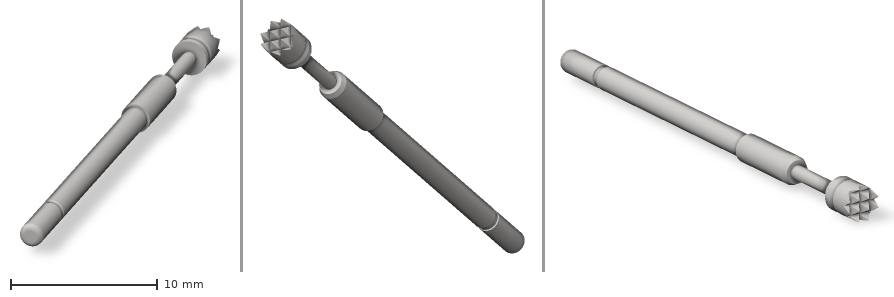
import cadquery as cq

LENGTH = 36.3

HEAD_DIA = 2.5
HEAD_LENGTH = 2.98
TOOTH_PITCH = 0.8
GROOVES_PER_SET = 5
TOOTH_DEPTH = 0.7
NECK_DIA = 2.32
NECK_FRONT = 2.0
NECK_REAR = 2.32
NECK_TAPER_END = 2.58

PLUNGER_DIA = 1.0

COLLAR_DIA = 2.07
COLLAR_FRONT = 8.25
COLLAR_REAR = 14.23
COLLAR_BEVEL_LENGTH = 0.4
COLLAR_BEVEL_DEPTH = 0.18

BARREL_DIA = 1.67
GROOVE_DIA = 1.45
GROOVE_FRONT = 31.58
GROOVE_TAPER_END = 31.73
GROOVE_REAR = 32.1
END_FILLET = 0.4


def turned(sections):
    """Revolve (distance behind the tips, diameter) stations about the Y axis."""
    profile = [(diameter / 2, LENGTH - distance) for distance, diameter in sections]
    outline = [(0, profile[0][1])] + profile + [(0, profile[-1][1])]
    return cq.Workplane("XY").polyline(outline).close().revolve(360, (0, 0), (0, 1))


def make_head():
    """Cylinder with a turned groove: a cone from the rear that runs into a hollow arc."""
    radius = HEAD_DIA / 2
    rear = LENGTH - HEAD_LENGTH
    return (
        cq.Workplane("XY")
        .moveTo(0, rear)
        .lineTo(radius, rear)
        .lineTo(radius, LENGTH - NECK_TAPER_END)
        .lineTo(NECK_DIA / 2, LENGTH - NECK_REAR)
        .tangentArcPoint((radius, LENGTH - NECK_FRONT), relative=False)
        .lineTo(radius, LENGTH)
        .lineTo(0, LENGTH)
        .close()
        .revolve(360, (0, 0), (0, 1))
    )


def make_plunger():
    return turned([(HEAD_LENGTH, PLUNGER_DIA), (COLLAR_FRONT, PLUNGER_DIA)])


def make_collar():
    return turned([
        (COLLAR_FRONT, COLLAR_DIA - 2 * COLLAR_BEVEL_DEPTH),
        (COLLAR_FRONT + COLLAR_BEVEL_LENGTH, COLLAR_DIA),
        (COLLAR_REAR, COLLAR_DIA),
    ])


def make_barrel():
    barrel = turned([
        (COLLAR_REAR, BARREL_DIA),
        (GROOVE_FRONT, BARREL_DIA),
        (GROOVE_TAPER_END, GROOVE_DIA),
        (GROOVE_REAR, GROOVE_DIA),
        (GROOVE_REAR, BARREL_DIA),
        (LENGTH, BARREL_DIA),
    ])
    return barrel.faces("<Y").edges().fillet(END_FILLET)


def cut_teeth(body):
    """Cut two crossing sets of parallel V grooves, leaving a grid of pyramid teeth."""
    half_count = (GROOVES_PER_SET - 1) // 2
    for row in range(-half_count, half_count + 1):
        middle = row * TOOTH_PITCH
        groove = (
            cq.Workplane("XY")
            .polyline([
                (middle - TOOTH_PITCH / 2, LENGTH),
                (middle, LENGTH - TOOTH_DEPTH),
                (middle + TOOTH_PITCH / 2, LENGTH),
            ])
            .close()
            .extrude(HEAD_DIA, both=True)
        )
        crossing_groove = groove.rotate((0, 0, 0), (0, 1, 0), 90)
        body = body.cut(groove).cut(crossing_groove)
    return body


result = (
    cut_teeth(make_head())
    .union(make_plunger())
    .union(make_collar())
    .union(make_barrel())
)